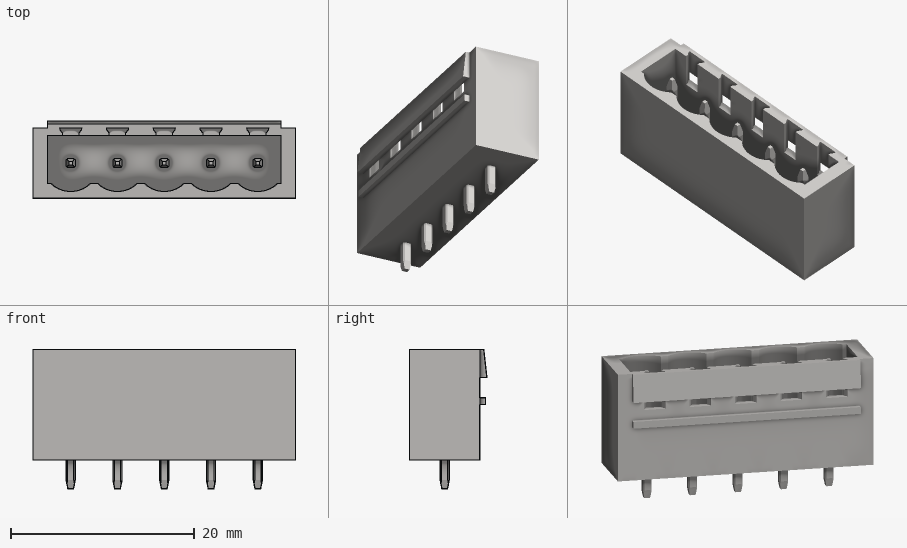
import cadquery as cq


PIN_COUNT = 5
PITCH = 5.1
PIN_XS = [(i - (PIN_COUNT - 1) / 2) * PITCH for i in range(PIN_COUNT)]

LENGTH = 28.6
DEPTH = 7.66
HEIGHT = 12.07
CAVITY_LENGTH = PIN_COUNT * PITCH
CAVITY_DEPTH = 9.15
FRONT_WALL = 1.6
BACK_WALL = 0.83
CAVITY_FRONT_Y = FRONT_WALL
CAVITY_BACK_Y = DEPTH - BACK_WALL
CAVITY_FLOOR_Z = HEIGHT - CAVITY_DEPTH

SCALLOP_CHORD = 4.25
SCALLOP_SAGITTA = 0.85
SCALLOP_RADIUS = ((SCALLOP_CHORD / 2) ** 2 + SCALLOP_SAGITTA ** 2) / (2 * SCALLOP_SAGITTA)

SLOT_NECK_WIDTH = 1.8
SLOT_WIDE_WIDTH = 2.37
SLOT_NECK_DEPTH = 0.25
SLOT_WIDE_DEPTH = 0.17
SLOT_HEIGHT = 4.18

RAIL_TOP_PROJECTION = 0.43
RAIL_PROJECTION = 0.77
RAIL_HEIGHT = 3.1
RIB_PROJECTION = 0.63
RIB_TOP_DROP = 5.25
RIB_HEIGHT = 0.77

PIN_WIDTH = 1.0
PIN_CHAMFER = 0.17
PIN_Y = DEPTH / 2
PIN_TAIL = 3.12
PIN_TOP_DROP = 0.85
LOWER_TIP_WIDTH = 0.63
LOWER_TIP_HEIGHT = 0.95
UPPER_TIP_WIDTH = 0.4
UPPER_TIP_HEIGHT = 1.43
PIN_BOTTOM_Z = -PIN_TAIL
PIN_TOP_Z = HEIGHT - PIN_TOP_DROP


def box_between(x_size, y_range, z_range):
    """Box centred on X = 0, spanning the given Y and Z ranges."""
    y_size = y_range[1] - y_range[0]
    z_size = z_range[1] - z_range[0]
    box = cq.Workplane("XY").box(x_size, y_size, z_size, centered=(True, False, False))
    return box.translate((0, y_range[0], z_range[0]))


def make_scallop():
    """Upright cylinder that hollows the front wall in front of one pin."""
    centre_y = CAVITY_FRONT_Y - SCALLOP_SAGITTA + SCALLOP_RADIUS
    cylinder = cq.Workplane("XY").circle(SCALLOP_RADIUS).extrude(CAVITY_DEPTH)
    cylinder = cylinder.translate((0, centre_y, CAVITY_FLOOR_Z))
    keep = box_between(SCALLOP_CHORD, (0, PIN_Y), (CAVITY_FLOOR_Z, HEIGHT))
    return cylinder.intersect(keep)


def make_slot():
    """Dovetail prism, narrow towards the cavity and wide at the back face."""
    neck = SLOT_NECK_WIDTH / 2
    wide = SLOT_WIDE_WIDTH / 2
    neck_end_y = CAVITY_BACK_Y + SLOT_NECK_DEPTH
    wide_start_y = DEPTH - SLOT_WIDE_DEPTH
    right_side = [(neck, CAVITY_BACK_Y), (neck, neck_end_y), (wide, wide_start_y), (wide, DEPTH)]
    left_side = [(-x, y) for x, y in reversed(right_side)]
    slot = cq.Workplane("XY").polyline(right_side + left_side).close().extrude(SLOT_HEIGHT)
    return slot.translate((0, 0, HEIGHT - SLOT_HEIGHT))


def make_rail():
    """Latch rail whose outer face leans outwards towards its flat underside."""
    bottom_z = HEIGHT - RAIL_HEIGHT
    profile = [
        (DEPTH, bottom_z),
        (DEPTH + RAIL_PROJECTION, bottom_z),
        (DEPTH + RAIL_TOP_PROJECTION, HEIGHT),
        (DEPTH, HEIGHT),
    ]
    return cq.Workplane("YZ").polyline(profile).close().extrude(CAVITY_LENGTH / 2, both=True)


def make_rib():
    """Square rib along the back face, below the slots."""
    top_z = HEIGHT - RIB_TOP_DROP
    return box_between(CAVITY_LENGTH, (DEPTH, DEPTH + RIB_PROJECTION), (top_z - RIB_HEIGHT, top_z))


def make_tip(tip_width, base_z, tip_z):
    """Four-sided tapered pin end from the full pin width to the tip width."""
    base = cq.Workplane("XY").workplane(offset=base_z).rect(PIN_WIDTH, PIN_WIDTH)
    return base.workplane(offset=tip_z - base_z).rect(tip_width, tip_width).loft(ruled=True)


def make_pin():
    """Square pin with chamfered long edges and tapered ends, centred on X = Y = 0."""
    shank_bottom_z = PIN_BOTTOM_Z + LOWER_TIP_HEIGHT
    shank_top_z = PIN_TOP_Z - UPPER_TIP_HEIGHT
    half_width = PIN_WIDTH / 2
    shank = box_between(PIN_WIDTH, (-half_width, half_width), (shank_bottom_z, shank_top_z))
    square_pin = (
        shank
        .union(make_tip(LOWER_TIP_WIDTH, shank_bottom_z, PIN_BOTTOM_Z))
        .union(make_tip(UPPER_TIP_WIDTH, shank_top_z, PIN_TOP_Z))
    )
    envelope = box_between(PIN_WIDTH, (-half_width, half_width), (PIN_BOTTOM_Z, PIN_TOP_Z))
    return square_pin.intersect(envelope.edges("|Z").chamfer(PIN_CHAMFER))


def make_housing(pins):
    """Housing with its cavity, scallops, slots, rail, rib and fitted pin holes."""
    body = box_between(LENGTH, (0, DEPTH), (0, HEIGHT))
    body = body.cut(box_between(CAVITY_LENGTH, (CAVITY_FRONT_Y, CAVITY_BACK_Y), (CAVITY_FLOOR_Z, HEIGHT)))
    for x in PIN_XS:
        body = body.cut(make_scallop().translate((x, 0, 0)))
        body = body.cut(make_slot().translate((x, 0, 0)))
    body = body.union(make_rail()).union(make_rib())
    for pin in pins:
        body = body.cut(pin)
    return body


pins = [make_pin().translate((x, PIN_Y, 0)) for x in PIN_XS]
housing = make_housing(pins)

result = cq.Compound.makeCompound([housing.val(), *[pin.val() for pin in pins]])